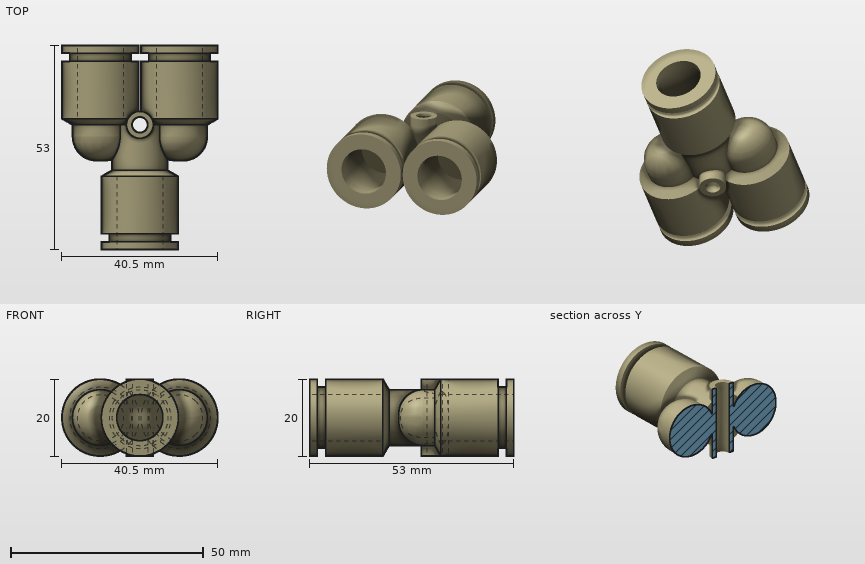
import cadquery as cq
import math

overall_length = 53.0
outlet_spacing = 20.5

socket_radius = 10.0
collar_length = 2.0
groove_radius = 8.0
groove_length = 2.1
body_end = 19.0
neck_radius = 7.25
cone_angle = 30.0
cone_length = (socket_radius - neck_radius) * math.tan(math.radians(cone_angle))
socket_length = body_end + cone_length
bore_radius = 6.0
bore_depth = body_end

neck_length = 3.0
dome_radius = 6.35
dome_flat_radius = neck_radius - dome_radius

eyelet_radius = 3.5
eyelet_hole_radius = 2.0
eyelet_height = 2 * socket_radius

open_face_y = overall_length / 2
branch_y = open_face_y - socket_length


def revolve_about_y(profile):
    return profile.close().revolve(360, (0, 0, 0), (0, 1, 0))


def cylinder_z(radius, height):
    """Upright cylinder on the branch point, centred on Z = 0."""
    return cq.Workplane("XY").center(0, branch_y).circle(radius).extrude(height / 2, both=True)


def make_socket():
    """Solid socket on the Y axis with its open face at +Y."""
    collar_y = open_face_y - collar_length
    groove_y = collar_y - groove_length
    body_y = open_face_y - body_end
    profile = (
        cq.Workplane("XY")
        .moveTo(0, open_face_y)
        .lineTo(socket_radius, open_face_y)
        .lineTo(socket_radius, collar_y)
        .lineTo(groove_radius, collar_y)
        .lineTo(groove_radius, groove_y)
        .lineTo(socket_radius, groove_y)
        .lineTo(socket_radius, body_y)
        .lineTo(neck_radius, branch_y)
        .lineTo(0, branch_y)
    )
    return revolve_about_y(profile)


def make_bore():
    """Blind tube bore matching make_socket."""
    return (
        cq.Workplane("XZ", origin=(0, open_face_y, 0))
        .circle(bore_radius)
        .extrude(bore_depth)
    )


def make_dome():
    """Short neck below a socket, closed by a rounded end with a small flat tip."""
    dome_y = branch_y - neck_length
    arc_offset = dome_radius * math.sqrt(0.5)
    profile = (
        cq.Workplane("XY")
        .moveTo(0, branch_y)
        .lineTo(neck_radius, branch_y)
        .lineTo(neck_radius, dome_y)
        .threePointArc(
            (dome_flat_radius + arc_offset, dome_y - arc_offset),
            (dome_flat_radius, dome_y - dome_radius),
        )
        .lineTo(0, dome_y - dome_radius)
    )
    return revolve_about_y(profile)


def make_stem():
    """Round stem from the branch point to the cone of the inlet socket."""
    stem_length = overall_length - 2 * socket_length
    return cq.Workplane("XZ", origin=(0, branch_y, 0)).circle(neck_radius).extrude(stem_length)


def face_inlet(shape):
    """Turn a +Y facing shape around to face -Y."""
    return shape.rotate((0, 0, 0), (0, 0, 1), 180)


outlet_positions = [(side * outlet_spacing / 2, 0, 0) for side in (-1, 1)]

result = make_stem().union(face_inlet(make_socket()))
for position in outlet_positions:
    result = result.union(make_socket().union(make_dome()).translate(position))
result = result.union(cylinder_z(eyelet_radius, eyelet_height))

result = result.cut(face_inlet(make_bore()))
for position in outlet_positions:
    result = result.cut(make_bore().translate(position))
result = result.cut(cylinder_z(eyelet_hole_radius, eyelet_height))